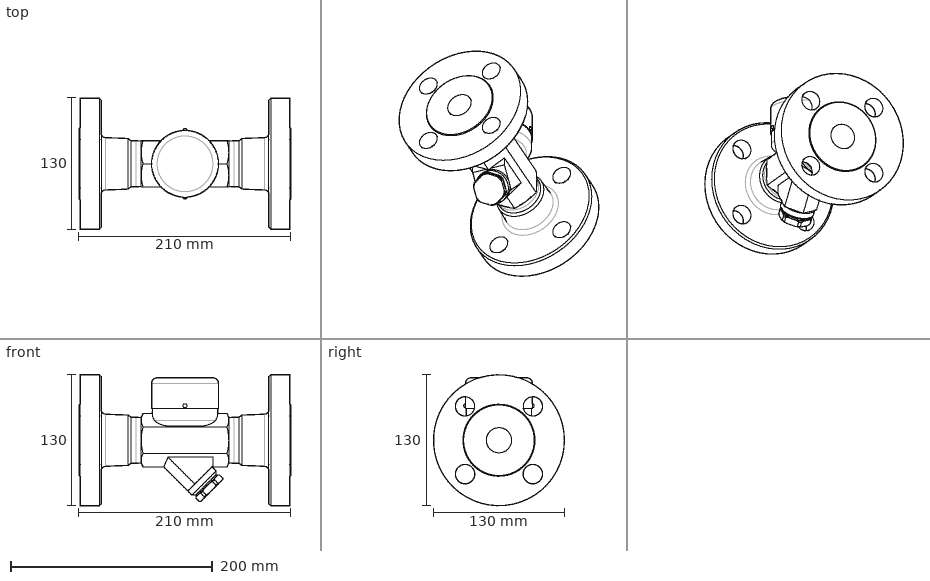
import cadquery as cq
import math


face_to_face = 210.0
flange_dia = 130.0
flange_thickness = 21.0
flange_chamfer = 2.0
raised_face_height = 1.0
raised_face_root_dia = 71.5
raised_face_dia = 70.0
bolt_circle_dia = 95.0
bolt_hole_dia = 19.0
bolt_count = 4
first_bolt_angle = 45.0

neck_root_dia = 52.2
neck_tip_dia = 50.4
neck_fillet = 4.0
neck_length = 26.5
shoulder_length = 2.8
pipe_dia = 46.0
pipe_taper_length = 4.9
bore_dia = 25.0

body_flats = 46.0
body_length = 87.2
body_corner_dia = body_flats / math.cos(math.pi / 6)
body_turn = 30.0
body_end_dia = 45.2
body_chamfer_length = 2.0

cap_dia = 66.5
cap_top = 62.0
cap_bottom = 31.4
cap_fillet = 5.6
bowl_dia = 65.0
bowl_bottom = 14.2
bowl_fillet = 5.6
pin_dia = 4.0
pin_inset = 0.3
pin_height = 34.2

branch_angle = 45.0
branch_axis_x = -23.5
branch_width = 34.0
branch_reach = 54.2
branch_right_face_x = 27.8
collar_length = 5.8
plug_neck_dia = 29.0
collar_chamfer = (branch_width - plug_neck_dia) / 2
plug_neck_length = 1.5
plug_flats = 30.0
plug_turn = 90.0
plug_corner_dia = 33.0
plug_head_length = 6.6
plug_head_chamfer = 0.9

face_x = face_to_face / 2
flange_front_x = face_x - raised_face_height
flange_back_x = flange_front_x - flange_thickness
neck_end_x = flange_back_x - neck_length
shoulder_end_x = neck_end_x - shoulder_length
body_end_x = body_length / 2
pipe_taper_x = body_end_x + pipe_taper_length
bore_depth = face_x - body_end_x


def make_end():
    """Revolve the flange, neck and pipe stub on the +X side, then drill it."""
    neck_fillet_x = flange_back_x - neck_fillet
    neck_r = neck_root_dia / 2
    arc_drop = neck_fillet * (1 - math.sqrt(0.5))
    flange_r = flange_dia / 2
    end = (
        cq.Workplane("XY")
        .moveTo(0, 0)
        .lineTo(face_x, 0)
        .lineTo(face_x, raised_face_dia / 2)
        .lineTo(flange_front_x, raised_face_root_dia / 2)
        .lineTo(flange_front_x, flange_r)
        .lineTo(flange_back_x + flange_chamfer, flange_r)
        .lineTo(flange_back_x, flange_r - flange_chamfer)
        .lineTo(flange_back_x, neck_r + neck_fillet)
        .threePointArc((flange_back_x - arc_drop, neck_r + arc_drop), (neck_fillet_x, neck_r))
        .lineTo(neck_end_x, neck_tip_dia / 2)
        .lineTo(shoulder_end_x, pipe_dia / 2)
        .lineTo(pipe_taper_x, pipe_dia / 2)
        .lineTo(body_end_x, body_end_dia / 2)
        .lineTo(0, body_end_dia / 2)
        .close()
        .revolve(360, (0, 0, 0), (1, 0, 0))
    )
    bolt_holes = (
        cq.Workplane("YZ", origin=(flange_back_x, 0, 0))
        .polarArray(bolt_circle_dia / 2, first_bolt_angle, 360, bolt_count)
        .circle(bolt_hole_dia / 2)
        .extrude(flange_thickness)
    )
    return end.cut(bolt_holes)


def make_bores():
    """Blind bores from both flange faces to the ends of the hexagonal body."""
    bore = cq.Workplane("YZ", origin=(body_end_x, 0, 0)).circle(bore_dia / 2).extrude(bore_depth)
    return bore.union(bore.mirror("YZ"))


def make_body():
    """Hexagonal bar with a corner at the top and conically chamfered ends."""
    bar = (
        cq.Workplane("YZ", origin=(-body_end_x, 0, 0))
        .polygon(6, body_corner_dia)
        .extrude(body_length)
        .rotate((0, 0, 0), (1, 0, 0), body_turn)
    )
    shoulder_x = body_end_x - body_chamfer_length
    envelope = (
        cq.Workplane("XY")
        .moveTo(-body_end_x, 0)
        .lineTo(-body_end_x, body_end_dia / 2)
        .lineTo(-shoulder_x, body_corner_dia / 2)
        .lineTo(shoulder_x, body_corner_dia / 2)
        .lineTo(body_end_x, body_end_dia / 2)
        .lineTo(body_end_x, 0)
        .close()
        .revolve(360, (0, 0, 0), (1, 0, 0))
    )
    return bar.intersect(envelope)


def make_bonnet():
    """Round cap over a round-bottomed bowl, with a small domed pin on each Y side."""
    cap = (
        cq.Workplane("XY", origin=(0, 0, cap_bottom))
        .circle(cap_dia / 2)
        .extrude(cap_top - cap_bottom)
        .faces(">Z")
        .edges()
        .fillet(cap_fillet)
    )
    bowl = (
        cq.Workplane("XY", origin=(0, 0, bowl_bottom))
        .circle(bowl_dia / 2)
        .extrude(cap_bottom - bowl_bottom)
        .faces("<Z")
        .edges()
        .fillet(bowl_fillet)
    )
    bonnet = cap.union(bowl)
    pin_y = cap_dia / 2 - pin_inset
    for side in (-1, 1):
        pin = cq.Workplane("XY").sphere(pin_dia / 2).translate((0, side * pin_y, pin_height))
        bonnet = bonnet.union(pin)
    return bonnet


def branch_plane(distance):
    """Plane across the branch axis: local x is +Y, local y points up and to +X."""
    angle = math.radians(branch_angle)
    direction = (math.cos(angle), 0, -math.sin(angle))
    origin = (branch_axis_x + distance * direction[0], 0, distance * direction[2])
    return cq.Plane(origin=origin, xDir=(0, 1, 0), normal=direction)


def make_branch():
    """Roof-shaped underside (120 degree ridge) with straight sides running up into the body."""
    half = branch_width / 2
    side_start = half - half * math.tan(math.pi / 6)
    branch = (
        cq.Workplane(branch_plane(0))
        .moveTo(0, -half)
        .lineTo(half, -side_start)
        .lineTo(half, branch_width)
        .lineTo(-half, branch_width)
        .lineTo(-half, -side_start)
        .close()
        .extrude(branch_reach)
    )
    keep_length = branch_right_face_x + face_x
    keep = (
        cq.Workplane("XY", origin=(branch_right_face_x - keep_length / 2, 0, 0))
        .rect(keep_length, flange_dia)
        .extrude(-face_x)
    )
    return branch.intersect(keep)


def make_plug():
    """Chamfered collar, short neck and trimmed hexagonal head along the branch axis."""
    collar_end = branch_reach + collar_length
    neck_start = collar_end + collar_chamfer
    head_start = neck_start + plug_neck_length
    collar = (
        cq.Workplane(branch_plane(branch_reach))
        .circle(branch_width / 2)
        .extrude(collar_length + collar_chamfer)
        .faces(cq.NearestToPointSelector(branch_plane(neck_start).origin.toTuple()))
        .edges()
        .chamfer(collar_chamfer)
    )
    neck = cq.Workplane(branch_plane(neck_start)).circle(plug_neck_dia / 2).extrude(plug_neck_length)
    head = (
        cq.Workplane(branch_plane(head_start))
        .transformed(rotate=(0, 0, plug_turn))
        .polygon(6, plug_flats / math.cos(math.pi / 6))
        .extrude(plug_head_length)
    )
    head_envelope = (
        cq.Workplane(branch_plane(head_start))
        .circle(plug_corner_dia / 2)
        .extrude(plug_head_length)
        .edges()
        .chamfer(plug_head_chamfer)
    )
    return collar.union(neck).union(head.intersect(head_envelope))


end = make_end()
result = (
    make_body()
    .union(end)
    .union(end.mirror("YZ"))
    .union(make_bonnet())
    .union(make_branch())
    .union(make_plug())
    .cut(make_bores())
)